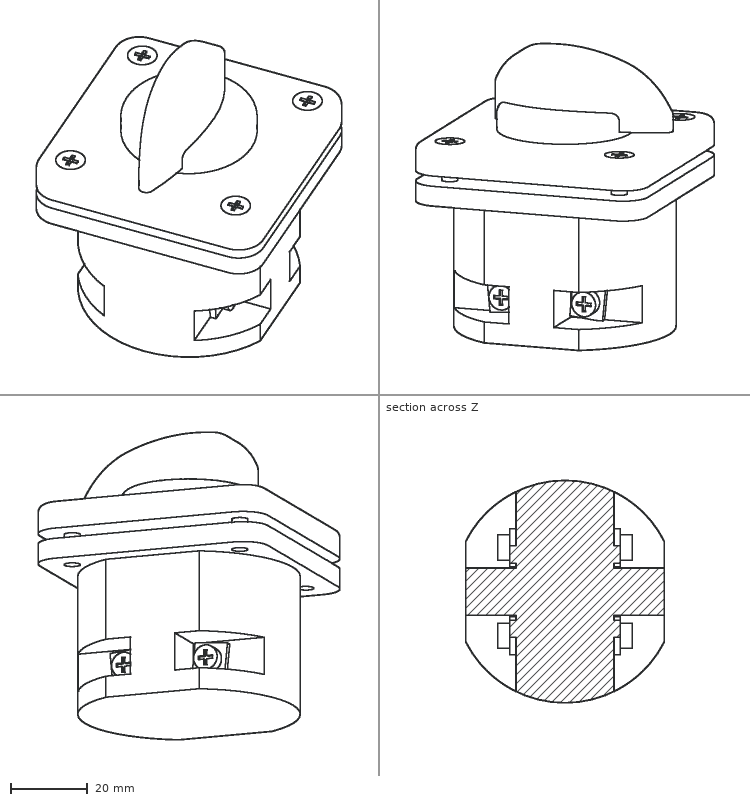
import cadquery as cq
import math


FLANGE_BOTTOM = 37.0
FLANGE_TOP = 42.35
PLATE_BOTTOM = 45.1
PLATE_TOP = 52.75
LEVER_BOTTOM = 54.4
DISC_TOP = 59.4
LEVER_TOP = 74.2

PLATE_SIDE = 64.0
CORNER_RADIUS = 7.0
EDGE_FILLET = 2.0

BARREL_DIAMETER = 58.15
BARREL_WIDTH = 51.9

NOTCH_BOTTOM = 5.65
NOTCH_TOP = 15.6
NOTCH_WALL_X = 12.8
NOTCH_WALL_Y = 6.2

TERMINAL_Y = 11.5
TERMINAL_Z = 10.45
CLAMP_SIDE = 9.1
CLAMP_THICKNESS = 1.6
CLAMP_TURN = -5.5
TERMINAL_HEAD_DIAMETER = 6.6
HEAD_HEIGHT = 3.1

CROSS_LENGTH = 4.0
CROSS_WIDTH = 0.9
CROSS_DEPTH = 1.0

SCREW_OFFSET = 23.5
SCREW_DIAMETER = 4.2
SCREW_HEAD_DIAMETER = 7.7
SCREW_PLACES = [(x, y) for x in (-SCREW_OFFSET, SCREW_OFFSET) for y in (-SCREW_OFFSET, SCREW_OFFSET)]

SHAFT_DIAMETER = 8.0
DISC_DIAMETER = 35.6
LEVER_HALF_WIDTH = 7.3
LEVER_FRONT_TIP = -29.9
LEVER_BACK_TIP = 19.3
LEVER_TIP_RADIUS = 2.0

CREST_Y = 4.8
CREST_RADIUS = 64.5
CREST_FRONT_Y = -14.5
CREST_BACK_Y = 8.75
SHOULDER_END = (11.6, 73.2)
FRONT_ARC_MIDDLE = (-23.4, 66.7)
FRONT_END_Z = 59.1
BACK_END_Z = 64.5


def rounded_square(bottom, top):
    """Square plate with round corners between two levels."""
    plate = cq.Workplane("XY").workplane(offset=bottom).rect(PLATE_SIDE, PLATE_SIDE).extrude(top - bottom)
    return plate.edges("|Z").fillet(CORNER_RADIUS)


def cylinder(diameter, bottom, top, x=0, y=0):
    """Upright cylinder between two levels."""
    plane = cq.Workplane("XY", origin=(x, y, bottom))
    return plane.circle(diameter / 2).extrude(top - bottom)


def cross(plane):
    """Cutter for a cross recess, sunk from the given plane against its normal."""
    bar = cq.Workplane(plane).rect(CROSS_LENGTH, CROSS_WIDTH).extrude(-CROSS_DEPTH)
    other_bar = cq.Workplane(plane).rect(CROSS_WIDTH, CROSS_LENGTH).extrude(-CROSS_DEPTH)
    return bar.union(other_bar)


def panel_screw(x, y):
    """Screw with its head flush in the plate and its shank through the flange."""
    head = cylinder(SCREW_HEAD_DIAMETER, PLATE_TOP - HEAD_HEIGHT, PLATE_TOP, x, y)
    shank = cylinder(SCREW_DIAMETER, FLANGE_BOTTOM, PLATE_TOP - HEAD_HEIGHT, x, y)
    return head.union(shank)


def cut_screw_seats(body):
    """Remove the space that the four panel screws fill."""
    for x, y in SCREW_PLACES:
        body = body.cut(panel_screw(x, y))
    return body


def make_screw(x, y):
    """Panel screw with its cross recess."""
    return panel_screw(x, y).cut(cross(cq.Plane(origin=(x, y, PLATE_TOP))))


def notch():
    """Cutter for the notch in the +X +Y corner of the barrel."""
    reach = BARREL_DIAMETER / 2
    block = cq.Workplane("XY").box(reach, reach, NOTCH_TOP - NOTCH_BOTTOM, centered=False)
    return block.translate((NOTCH_WALL_X, NOTCH_WALL_Y, NOTCH_BOTTOM))


def terminal():
    """Clamp plate and screw head in the +X +Y notch, facing +X."""
    def facing(x):
        """Plane centred on the terminal at the given depth."""
        return cq.Plane(origin=(x, TERMINAL_Y, TERMINAL_Z), xDir=(0, 1, 0), normal=(1, 0, 0))

    head_bottom = NOTCH_WALL_X + CLAMP_THICKNESS
    clamp_sketch = cq.Sketch().rect(CLAMP_SIDE, CLAMP_SIDE, angle=CLAMP_TURN)
    clamp = cq.Workplane(facing(NOTCH_WALL_X)).placeSketch(clamp_sketch).extrude(CLAMP_THICKNESS)
    head = cq.Workplane(facing(head_bottom)).circle(TERMINAL_HEAD_DIAMETER / 2).extrude(HEAD_HEIGHT)
    return clamp.union(head).cut(cross(facing(head_bottom + HEAD_HEIGHT)))


def four_corners(shape):
    """Copies of a +X +Y shape, mirrored into all four corners."""
    pair = [shape, shape.mirror("YZ")]
    return pair + [item.mirror("XZ") for item in pair]


def make_base():
    """Notched barrel with its terminals and the flange behind the panel."""
    flats = cq.Workplane("XY").rect(BARREL_WIDTH, BARREL_DIAMETER).extrude(FLANGE_BOTTOM)
    base = cylinder(BARREL_DIAMETER, 0, FLANGE_BOTTOM).intersect(flats)
    for cutter in four_corners(notch()):
        base = base.cut(cutter)
    for item in four_corners(terminal()):
        base = base.union(item)
    return cut_screw_seats(base.union(rounded_square(FLANGE_BOTTOM, FLANGE_TOP)))


def tip_contact(tip):
    """Point at x > 0 where the lever's side arc runs into its round tip.

    The side arc is widest at y = 0, so its centre lies on the X axis."""
    tip_centre = abs(tip) - LEVER_TIP_RADIUS
    narrowing = LEVER_HALF_WIDTH - LEVER_TIP_RADIUS
    centre_gap = (narrowing**2 + tip_centre**2) / (2 * narrowing)
    angle = math.asin(tip_centre / centre_gap)
    x = LEVER_TIP_RADIUS * math.cos(angle)
    y = tip_centre + LEVER_TIP_RADIUS * math.sin(angle)
    return x, math.copysign(y, tip)


def side_middle(y_end, x_end):
    """Point halfway along the side arc between (LEVER_HALF_WIDTH, 0) and its contact with the tip."""
    turn = 2 * math.atan((LEVER_HALF_WIDTH - x_end) / abs(y_end))
    radius = abs(y_end) / math.sin(turn)
    x = LEVER_HALF_WIDTH - radius * (1 - math.cos(turn / 2))
    return x, math.copysign(radius * math.sin(turn / 2), y_end)


def lever_column():
    """Upright column with the pointed oval plan of the lever."""
    front_x, front_y = tip_contact(LEVER_FRONT_TIP)
    back_x, back_y = tip_contact(LEVER_BACK_TIP)
    front_mid_x, front_mid_y = side_middle(front_y, front_x)
    back_mid_x, back_mid_y = side_middle(back_y, back_x)
    return (
        cq.Workplane("XY", origin=(0, 0, LEVER_BOTTOM))
        .moveTo(LEVER_HALF_WIDTH, 0)
        .threePointArc((back_mid_x, back_mid_y), (back_x, back_y))
        .threePointArc((0, LEVER_BACK_TIP), (-back_x, back_y))
        .threePointArc((-back_mid_x, back_mid_y), (-LEVER_HALF_WIDTH, 0))
        .threePointArc((-front_mid_x, front_mid_y), (-front_x, front_y))
        .threePointArc((0, LEVER_FRONT_TIP), (front_x, front_y))
        .threePointArc((front_mid_x, front_mid_y), (LEVER_HALF_WIDTH, 0))
        .close()
        .extrude(LEVER_TOP - LEVER_BOTTOM)
    )


def crest_z(y):
    """Height of the crest arc at the given y."""
    drop = CREST_RADIUS - math.sqrt(CREST_RADIUS**2 - (y - CREST_Y) ** 2)
    return LEVER_TOP - drop


def ridge_profile():
    """Everything below the lever's ridge line, as wide as the lever along X."""
    crest_back = (CREST_BACK_Y, crest_z(CREST_BACK_Y))
    crest_front = (CREST_FRONT_Y, crest_z(CREST_FRONT_Y))
    return (
        cq.Workplane("YZ")
        .moveTo(LEVER_FRONT_TIP, LEVER_BOTTOM)
        .lineTo(LEVER_FRONT_TIP, FRONT_END_Z)
        .threePointArc(FRONT_ARC_MIDDLE, crest_front)
        .threePointArc((CREST_Y, LEVER_TOP), crest_back)
        .tangentArcPoint(SHOULDER_END, relative=False)
        .tangentArcPoint((LEVER_BACK_TIP, BACK_END_Z), relative=False)
        .lineTo(LEVER_BACK_TIP, LEVER_BOTTOM)
        .close()
        .extrude(LEVER_HALF_WIDTH, both=True)
    )


def make_lever():
    """Lever with its upper rim rounded all the way round."""
    lever = lever_column().intersect(ridge_profile()).val()
    rim = [
        edge for edge in lever.Edges()
        if edge.geomType() != "LINE" and edge.BoundingBox().zmin > LEVER_BOTTOM + EDGE_FILLET
    ]
    return cq.Workplane("XY").add(lever.fillet(EDGE_FILLET, rim))


def make_front_plate():
    """Front plate with the knob and the shaft that reaches back to the base."""
    plate = rounded_square(PLATE_BOTTOM, PLATE_TOP).faces(">Z").edges().fillet(EDGE_FILLET)
    shaft = cylinder(SHAFT_DIAMETER, FLANGE_TOP, PLATE_BOTTOM)
    disc = cylinder(DISC_DIAMETER, PLATE_TOP, DISC_TOP).faces(">Z").edges().fillet(EDGE_FILLET)
    return cut_screw_seats(plate).union(shaft).union(disc).union(make_lever())


base = make_base()
front_plate = make_front_plate()
screws = [make_screw(x, y) for x, y in SCREW_PLACES]

result = cq.Compound.makeCompound([base.val(), front_plate.val(), *[screw.val() for screw in screws]])